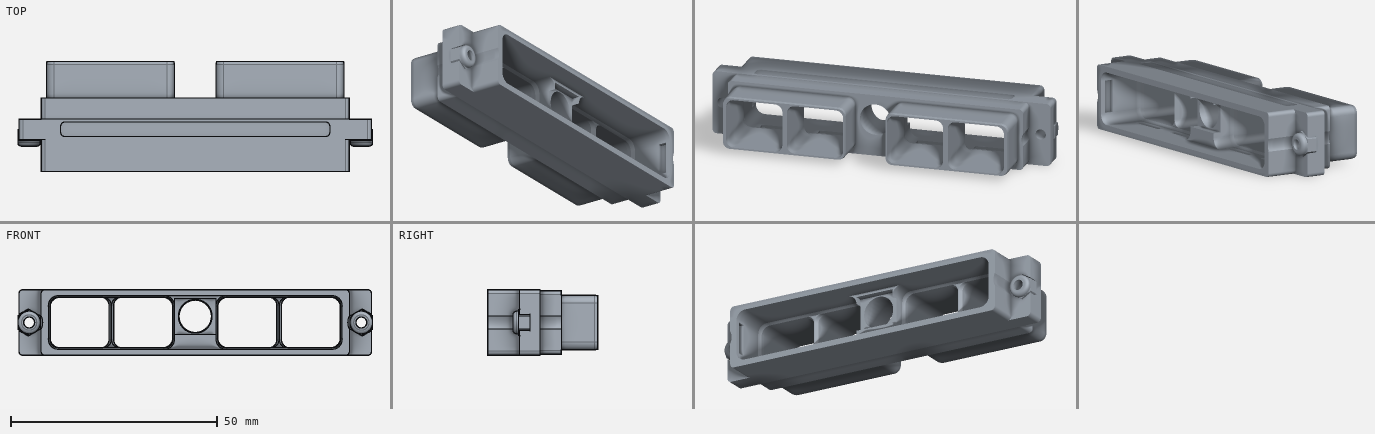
import cadquery as cq
import math


body_width = 74.7
flange_width = 85.5
front_height = 15.93
rear_height = 15.5
edge_radius = 1.0
flange_front_y = 7.75
flange_rear_y = 12.7
body_rear_y = 17.87
total_depth = 26.69

tub_inner_x = 5.0
tub_outer_x = 36.1
tub_height = 13.3
tub_radius = 1.9
tub_rim_length = 0.8
tub_rim_inset = 0.15

cavity_width = 71.2
cavity_height = 13.0
cavity_radius = 2.4
block_front_y = 5.6
block_width = 10.1
funnel_start_y = 10.3
funnel_end_y = 11.2
funnel_inset = 0.4

cell_width = 14.2
cell_radius = 1.9
partition_ridge = 0.1
partition_width = 1.2
lead_in_end_y = 12.2

shelf_top_z = -2.9
block_recess_top_z = 5.87
block_wall_y = 7.6
pin_hole_front_diameter = 8.2
pin_hole_rear_diameter = 7.8
pin_hole_z = 1.5

ramp_positions = (12.4, 27.0)
ramp_width = 9.5
ramp_depth = 0.7
ramp_front_y = 7.6
ramp_rear_y = 9.5

end_slot_front_y = 1.2
end_slot_rear_y = 3.3
end_slot_height = 8.0
end_slot_depth = 1.0

label_length = 65.2
label_front_y = 8.5
label_rear_y = 12.0
label_radius = 1.0
label_depth = 0.2

nut_x = 40.25
nut_flats = 5.5
nut_front_y = 7.5
nut_rear_y = 10.2
collar_front_y = 6.13
collar_diameter = 5.5
collar_round = 0.9
screw_hole_diameter = 2.6
pocket_x = 40.45
pocket_flats = 5.7
clearance_radius = 3.3

sides = (-1, 1)
bay_inner_x = block_width / 2
bay_outer_x = cavity_width / 2
bay_x = (bay_inner_x + bay_outer_x) / 2
bay_width = bay_outer_x - bay_inner_x
throat_width = bay_width - 2 * funnel_inset
cell_height = cavity_height - 2 * funnel_inset
cell_mouth_width = (throat_width - partition_ridge) / 2
cell_offset = (cell_width + partition_width) / 2


def sketch_at(y):
    """XZ workplane at depth y."""
    return cq.Workplane("XZ", origin=(0, y, 0))


def rounded_block(x, width, height, y_start, y_end, radius):
    """Block along Y, centred on x and z = 0, with its four long edges rounded."""
    block = sketch_at(y_end).center(x, 0).rect(width, height).extrude(y_end - y_start)
    return block.edges("|Y").fillet(radius)


def rod(x, z, diameter, y_start, y_end):
    return sketch_at(y_end).center(x, z).circle(diameter / 2).extrude(y_end - y_start)


def hexagon(x, flats, y_start, y_end):
    """Hexagonal prism along Y with two corners pointing up and down."""
    corners = flats / math.cos(math.pi / 6)
    prism = sketch_at(y_end).polygon(6, corners).extrude(y_end - y_start)
    return prism.rotate((0, 0, 0), (0, 1, 0), 90).translate((x, 0, 0))


def make_tub(side):
    x = side * (tub_inner_x + tub_outer_x) / 2
    width = tub_outer_x - tub_inner_x
    tub = rounded_block(x, width, tub_height, flange_rear_y, total_depth, tub_radius)
    return tub.faces(">Y").edges().chamfer(tub_rim_length, tub_rim_inset)


def make_shell():
    shell = rounded_block(0, body_width, front_height, 0, flange_rear_y, edge_radius)
    rear = rounded_block(0, body_width, rear_height, 0, body_rear_y, edge_radius)
    shell = shell.union(rear)
    for side in sides:
        shell = shell.union(make_tub(side))
        shell = shell.cut(rod(side * nut_x, 0, 2 * clearance_radius, 0, body_rear_y))
    flange = rounded_block(0, flange_width, front_height, flange_front_y, flange_rear_y, edge_radius)
    return shell.union(flange)


def tapered_block(front_x, front_size, front_y, rear_x, rear_size, rear_y, radius):
    """Loft along Y between two rounded rectangles, each given by its centre x and (width, height)."""
    front = cq.Sketch().rect(*front_size).vertices().fillet(radius)
    rear = cq.Sketch().rect(*rear_size).vertices().fillet(radius)
    front = front.moved(cq.Location(cq.Vector(front_x, 0, 0)))
    rear = rear.moved(cq.Location(cq.Vector(rear_x, 0, front_y - rear_y)))
    return sketch_at(front_y).placeSketch(front, rear).loft()


def make_funnel(x):
    """Short taper from a bay to the throat in front of its two cells."""
    mouth_size = (bay_width, cavity_height)
    throat_size = (throat_width, cell_height)
    return tapered_block(x, mouth_size, funnel_start_y, x, throat_size, funnel_end_y, cavity_radius)


def make_cell(x, cell_side):
    """Straight cell with a tapered mouth; the mouths of a pair almost meet at a narrow ridge."""
    mouth_x = x + cell_side * (cell_mouth_width + partition_ridge) / 2
    mouth_size = (cell_mouth_width, cell_height)
    cell_x = x + cell_side * cell_offset
    cell_size = (cell_width, cell_height)
    mouth = tapered_block(mouth_x, mouth_size, funnel_end_y, cell_x, cell_size, lead_in_end_y, cell_radius)
    straight = rounded_block(cell_x, cell_width, cell_height, lead_in_end_y, total_depth, cell_radius)
    return mouth.union(straight)


def make_ramp(x):
    """Wedge cut into the bay floor, deepest at its front and running out toward the rear."""
    floor_z = -cavity_height / 2
    wedge = [
        (ramp_front_y, floor_z),
        (ramp_front_y, floor_z - ramp_depth),
        (ramp_rear_y, floor_z),
    ]
    return (
        cq.Workplane("YZ", origin=(x, 0, 0)).polyline(wedge).close()
        .extrude(ramp_width / 2, both=True)
    )


def cut_bays(part):
    part = part.cut(rounded_block(0, cavity_width, cavity_height, 0, block_front_y, cavity_radius))
    for side in sides:
        x = side * bay_x
        part = part.cut(rounded_block(x, bay_width, cavity_height, 0, funnel_start_y, cavity_radius))
        part = part.cut(make_funnel(x))
        for cell_side in sides:
            part = part.cut(make_cell(x, cell_side))
        for ramp_x in ramp_positions:
            part = part.cut(make_ramp(side * ramp_x))
    return part


def cut_end_slots(part):
    """Shallow upright slot in each end wall of the front cavity."""
    length = cavity_width + 2 * end_slot_depth
    depth_y = end_slot_rear_y - end_slot_front_y
    slots = sketch_at(end_slot_rear_y).rect(length, end_slot_height).extrude(depth_y)
    return part.cut(slots)


def cut_centre_block(part):
    recess_height = block_recess_top_z - shelf_top_z
    recess_z = (block_recess_top_z + shelf_top_z) / 2
    recess = (
        sketch_at(block_wall_y).center(0, recess_z).rect(block_width, recess_height)
        .extrude(block_wall_y)
    )
    pin_hole = (
        sketch_at(block_wall_y).center(0, pin_hole_z).circle(pin_hole_front_diameter / 2)
        .workplane(offset=block_wall_y - body_rear_y).circle(pin_hole_rear_diameter / 2)
        .loft()
    )
    return part.cut(recess).cut(pin_hole)


def cut_label(part):
    length_y = label_rear_y - label_front_y
    centre = (0, (label_front_y + label_rear_y) / 2, front_height / 2 - label_depth)
    label = (
        cq.Workplane("XY", origin=centre).rect(label_length, length_y).extrude(label_depth)
        .edges("|Z").fillet(label_radius)
    )
    return part.cut(label)


def make_nut(side):
    x = side * nut_x
    nut = hexagon(x, nut_flats, nut_front_y, nut_rear_y)
    collar = rod(x, 0, collar_diameter, collar_front_y, nut_rear_y)
    return nut.union(collar.faces("<Y").edges().fillet(collar_round))


def fit_nuts(part):
    for side in sides:
        part = part.cut(hexagon(side * pocket_x, pocket_flats, flange_front_y, nut_rear_y))
        part = part.union(make_nut(side))
        part = part.cut(rod(side * nut_x, 0, screw_hole_diameter, 0, total_depth))
    return part


result = fit_nuts(cut_label(cut_centre_block(cut_end_slots(cut_bays(make_shell())))))